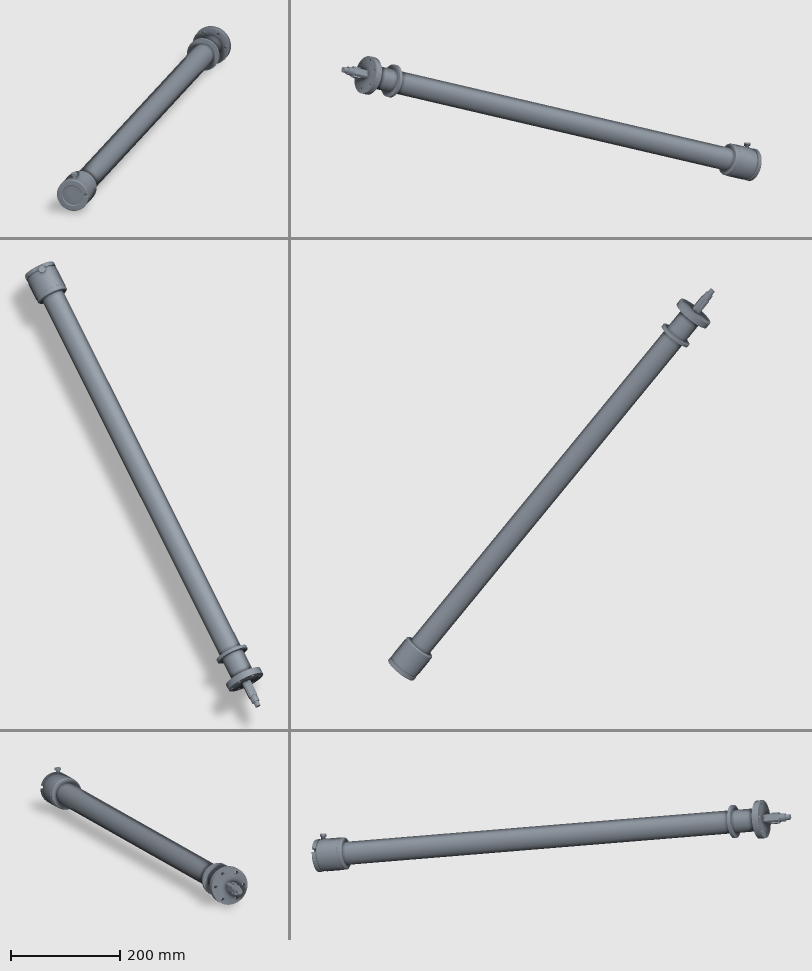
import cadquery as cq

total_length = 920.0

tube_radius = 21.0
ring_front = 808.0
ring_thickness = 5.5
ring_radius = 30.0
flange_front = 857.0
flange_thickness = 12.0
flange_radius = 35.0

collar_radius = 60.0 / 2
collar_length = 57.0
cap_length = 7.0
band_front = 10.0
body_front = 17.0
rear_band_front = 49.0
groove_depth = 3.0
band_depth = 0.55
cap_chamfer = 1.0
rear_chamfer = 1.4

window_radius = 18.0
window_depth = 1.4

slit_width = 6.0
slit_height = 4.0

screw_place = 12.0
screw_shank_radius = 4.0
screw_head_radius = 6.0
screw_head_thickness = 4.0
screw_top = 40.0

bolt_count = 6
bolt_circle_radius = 28.0
bolt_hole_radius = 3.2

plug_width = 16.0
plug_side_flat = 11.0
plug_top_flat = 8.0
plug_rear = 900.0
sleeve_rear = 911.0
sleeve_radius = 7.0
tip_radius = 5.1
key_front = 882.0
key_length = 17.0
key_width = 5.5
key_height = 20.0


def disc(front, rear, radius):
    """Cylinder on the part's axis between two places."""
    return cq.Workplane("XZ", origin=(0, front, 0)).circle(radius).extrude(front - rear)


def front_window():
    """Shallow recess whose wall tapers inward to the window radius."""
    return (
        cq.Workplane("XZ")
        .circle(window_radius + window_depth)
        .workplane(offset=-window_depth)
        .circle(window_radius)
        .loft()
    )


def front_slit():
    slit_length = collar_radius - window_radius
    slit = cq.Workplane("XY", origin=(window_radius, 0, slit_height))
    return slit.box(slit_length, cap_length, slit_width, centered=(False, False, True))


def collar():
    cap = disc(0, cap_length, collar_radius).faces("<Y").chamfer(cap_chamfer)
    groove_floor = disc(cap_length, band_front, collar_radius - groove_depth)
    clamp_band = disc(band_front, body_front, collar_radius - band_depth)
    body = disc(body_front, rear_band_front, collar_radius)
    rear_band = disc(rear_band_front, collar_length, collar_radius - band_depth)
    rear_band = rear_band.faces(">Y").chamfer(rear_chamfer)
    full_collar = cap.union(groove_floor).union(clamp_band).union(body).union(rear_band)
    return full_collar.cut(front_window()).cut(front_slit())


def thumb_screw():
    base = cq.Workplane("XY", origin=(0, screw_place, window_radius))
    shank = base.circle(screw_shank_radius).extrude(screw_top - window_radius)
    head_bottom = screw_top - screw_head_thickness
    head = cq.Workplane("XY", origin=(0, screw_place, head_bottom))
    return shank.union(head.circle(screw_head_radius).extrude(screw_head_thickness))


def flange():
    holes = (
        cq.Workplane("XZ", origin=(0, flange_front, 0))
        .polarArray(bolt_circle_radius, 0, 360, bolt_count)
        .circle(bolt_hole_radius)
        .extrude(-flange_thickness)
    )
    return disc(flange_front, flange_front + flange_thickness, flange_radius).cut(holes)


def connector():
    front = flange_front + flange_thickness
    half_width = plug_width / 2
    half_side = plug_side_flat / 2
    half_top = plug_top_flat / 2
    plug = (
        cq.Workplane("XZ", origin=(0, front, 0))
        .moveTo(half_width, -half_side)
        .lineTo(half_width, half_side)
        .lineTo(half_top, half_width)
        .lineTo(-half_top, half_width)
        .lineTo(-half_width, half_side)
        .lineTo(-half_width, -half_side)
        .lineTo(-half_top, -half_width)
        .lineTo(half_top, -half_width)
        .close()
        .extrude(front - plug_rear)
    )
    key_middle = key_front + key_length / 2
    keys = cq.Workplane("XY", origin=(0, key_middle, 0)).box(key_width, key_length, key_height)
    sleeve = disc(plug_rear, sleeve_rear, sleeve_radius)
    tip = disc(sleeve_rear, total_length, tip_radius)
    return plug.union(keys).union(sleeve).union(tip)


result = (
    disc(window_depth, flange_front, tube_radius)
    .union(collar())
    .union(disc(ring_front, ring_front + ring_thickness, ring_radius))
    .union(flange())
    .union(connector())
    .union(thumb_screw())
)